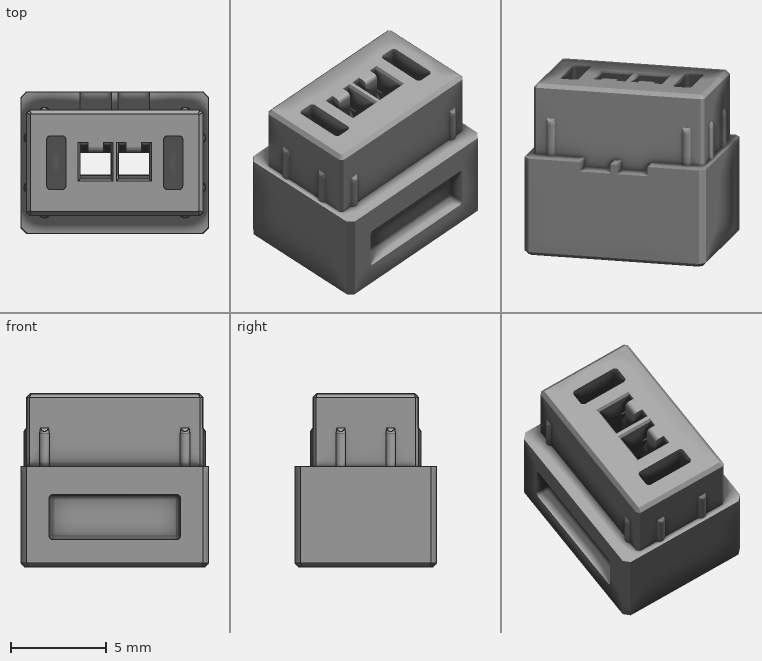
import cadquery as cq

BASE_X = 9.8
BASE_Y = 7.4
BASE_Z = 5.25
BASE_CORNER = 0.3
BASE_BOTTOM_CHAMFER = 0.2

BODY_X = 9.2
BODY_Y = 5.5
TOTAL_Z = 9.05
BODY_CORNER = 0.15
BODY_TOP_CHAMFER = 0.2

RIB_RADIUS = 0.3
RIB_PROUD = 0.14
RIB_Z = 2.0
RIB_TIP_Z = 0.28
RIB_TIP_RADIUS = 0.26
RIB_BEVEL_Z = 0.2
FRONT_RIB_X = 3.67
SIDE_RIB_Y = 1.3

RECESS_X = 6.85
RECESS_Z = 2.35
RECESS_CENTRE_Z = 2.6
RECESS_DEPTH = 0.8
RECESS_CORNER = 0.2
RECESS_FLOOR_FILLET = 0.19

POCKET_X = 1.0
POCKET_Y = 2.8
POCKET_OFFSET_X = 3.05
POCKET_DEPTH = 2.0
POCKET_CORNER = 0.2

PORT_OFFSET_X = 1.0
PORT_X = 1.62
PORT_BACK_Y = 1.05
PORT_FRONT_Y = -0.85
PORT_MOUTH_CHAMFER = 0.1
PORT_MOUTH_CHAMFER_Z = 0.15
TAB_X = 0.8
TAB_Y = 0.52
TAB_ROUND = 0.25
RAMP_TOP_DEPTH = 1.5
BACK_LEDGE_SIDE_X = 0.06
BACK_RAMP_START_Y = 0.12
BACK_RAMP_Z = 0.6
FRONT_RAMP_Y = 0.2
FRONT_RAMP_Z = 0.4

CHANNEL_X = 1.65
CHANNEL_DEPTH = 0.5


def block(x, y, z, bottom_z):
    """Box centred on X and Y, resting on bottom_z."""
    return cq.Workplane("XY").workplane(offset=bottom_z).box(x, y, z, centered=(True, True, False))


def side_profile(points, width):
    """Extrude a (Y, Z) polygon symmetrically about the YZ plane."""
    return cq.Workplane("YZ").polyline(points).close().extrude(width / 2, both=True)


def make_base():
    base = block(BASE_X, BASE_Y, BASE_Z, 0).edges("|Z").chamfer(BASE_CORNER)
    return base.faces("<Z").edges().chamfer(BASE_BOTTOM_CHAMFER)


def make_body():
    body = block(BODY_X, BODY_Y, TOTAL_Z - BASE_Z, BASE_Z).edges("|Z").chamfer(BODY_CORNER)
    return body.faces(">Z").edges().chamfer(BODY_TOP_CHAMFER)


def make_rib():
    """Vertical round rib, pressed into a wall at Y = 0 and standing proud of it toward -Y."""
    axis_y = RIB_RADIUS - RIB_PROUD
    outline = (
        cq.Workplane("XZ")
        .lineTo(RIB_RADIUS, 0)
        .lineTo(RIB_RADIUS, RIB_Z - RIB_TIP_Z)
        .lineTo(RIB_TIP_RADIUS, RIB_Z)
        .lineTo(0, RIB_Z)
        .close()
    )
    rib = outline.revolve(360, (0, 0, 0), (0, 1, 0)).translate((0, axis_y, 0))

    bevel = side_profile(
        [(-RIB_PROUD, RIB_Z - RIB_BEVEL_Z), (0, RIB_Z), (-RIB_PROUD, RIB_Z)],
        2 * RIB_RADIUS,
    )
    return rib.cut(bevel)


def make_ribs():
    """Two ribs on each of the four body walls."""
    rib = make_rib()
    ribs = cq.Workplane("XY")
    for turn, wall_distance, spread in (
        (0, BODY_Y / 2, FRONT_RIB_X),
        (90, BODY_X / 2, SIDE_RIB_Y),
        (180, BODY_Y / 2, FRONT_RIB_X),
        (270, BODY_X / 2, SIDE_RIB_Y),
    ):
        for offset in (-spread, spread):
            placed = rib.translate((offset, -wall_distance, BASE_Z))
            ribs = ribs.add(placed.rotate((0, 0, 0), (0, 0, 1), turn))
    return ribs.combine()


def make_recess():
    """Cutter for the grip recess, rounded at its corners and floor."""
    cutter = cq.Workplane("XY").box(RECESS_X, 2 * RECESS_DEPTH, RECESS_Z)
    cutter = cutter.edges("|Y").fillet(RECESS_CORNER)
    cutter = cutter.faces(">Y").edges().fillet(RECESS_FLOOR_FILLET)
    return cutter.translate((0, -BASE_Y / 2, RECESS_CENTRE_Z))


def make_pocket(x):
    pocket = block(POCKET_X, POCKET_Y, POCKET_DEPTH, TOTAL_Z - POCKET_DEPTH)
    return pocket.edges("|Z").fillet(POCKET_CORNER).translate((x, 0, 0))


def make_port(x):
    """Cutter for one through port, with the tab and ramps left standing."""
    length_y = PORT_BACK_Y - PORT_FRONT_Y
    centre_y = (PORT_BACK_Y + PORT_FRONT_Y) / 2
    port = block(PORT_X, length_y, TOTAL_Z, 0).translate((0, centre_y, 0))

    flare_x = PORT_X + 2 * PORT_MOUTH_CHAMFER
    flare_y = length_y + 2 * PORT_MOUTH_CHAMFER
    flare = (
        cq.Workplane("XY", origin=(0, centre_y, TOTAL_Z))
        .rect(flare_x, flare_y)
        .workplane(offset=-PORT_MOUTH_CHAMFER_Z)
        .rect(PORT_X, length_y)
        .loft(ruled=True)
    )
    behind = block(BODY_X, BODY_Y, TOTAL_Z, 0).translate((0, PORT_BACK_Y + BODY_Y / 2, 0))
    port = port.union(flare.cut(behind))

    tab_front_y = PORT_BACK_Y - TAB_Y
    tab = block(TAB_X, TAB_Y, TOTAL_Z, 0).translate((0, PORT_BACK_Y - TAB_Y / 2, 0))
    tab = tab.faces(">Z").edges("<Y").fillet(TAB_ROUND)

    ramp_top = TOTAL_Z - RAMP_TOP_DEPTH
    back_ledge = block(PORT_X, TAB_Y, ramp_top, 0).translate((0, PORT_BACK_Y - TAB_Y / 2, 0))
    ramp_space = side_profile(
        [
            (PORT_BACK_Y - BACK_RAMP_START_Y, ramp_top),
            (tab_front_y, ramp_top - BACK_RAMP_Z),
            (tab_front_y, ramp_top),
        ],
        PORT_X - 2 * BACK_LEDGE_SIDE_X,
    )
    back_ledge = back_ledge.cut(ramp_space)
    front_ramp = side_profile(
        [
            (PORT_FRONT_Y, 0),
            (PORT_FRONT_Y, ramp_top),
            (PORT_FRONT_Y + FRONT_RAMP_Y, ramp_top - FRONT_RAMP_Z),
            (PORT_FRONT_Y + FRONT_RAMP_Y, 0),
        ],
        PORT_X,
    )
    return port.cut(tab).cut(back_ledge).cut(front_ramp).translate((x, 0, 0))


def make_channel(x):
    length_y = (BASE_Y - BODY_Y) / 2
    channel = block(CHANNEL_X, length_y, CHANNEL_DEPTH, BASE_Z - CHANNEL_DEPTH)
    return channel.translate((x, (BASE_Y - length_y) / 2, 0))


part = make_base().union(make_body())
part = part.union(make_ribs())
part = part.cut(make_recess())
for side in (-1, 1):
    part = part.cut(make_pocket(side * POCKET_OFFSET_X))
    part = part.cut(make_port(side * PORT_OFFSET_X))
    part = part.cut(make_channel(side * PORT_OFFSET_X))

result = part